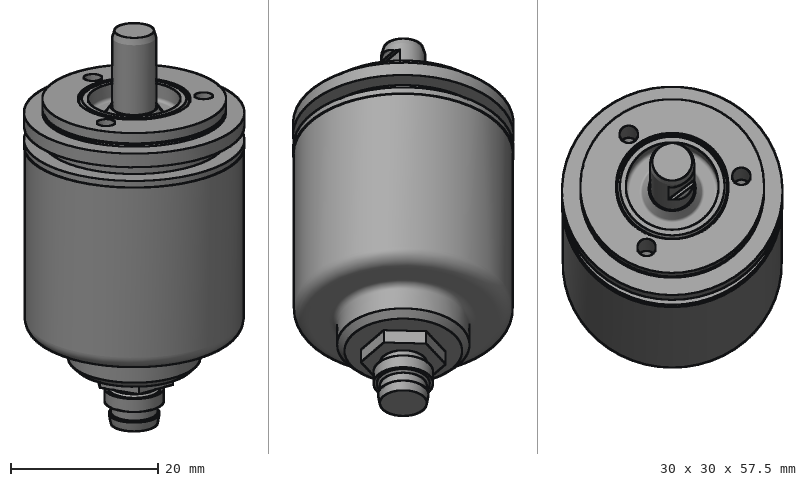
import cadquery as cq
import math


shaft_radius = 3.0
shaft_projection = 10.0
shaft_insertion = 10.0
shaft_chamfer_width = 0.3
shaft_chamfer_height = 1.0

flat_offset = 2.0
flat_bottom_z = 3.0
flat_length = 5.0
flat_edge_chamfer = 0.5

rim_radius = 15.0
pilot_radius = 12.5
pilot_land = 1.5
relief_depth = 0.2
flange_top_z = -2.0
flange_thickness = 2.0
servo_groove_width = 2.0
lower_rim_thickness = 1.0

cover_radius = 14.9
cover_bottom_z = -34.0
cover_fillet = 2.0
outlet_radius = 9.0
outlet_fillet = 1.0
outlet_chamfer = 1.0
outlet_bottom_z = -39.0

hex_across_flats = 10.0
hex_height = 2.0
neck_radius = 3.2
collar_cone_radius = 3.6
collar_cone_height = 0.35
collar_radius = 4.05
collar_top_z = -42.4
collar_height = 1.9
barb_radius = 3.45
barb_top_z = -46.1
barb_lead = 0.2
barb_bulge = 0.03
connector_bottom_z = -47.5

seat_groove_radius = 7.65
seat_bevel_top_radius = 7.1
seat_bevel_bottom_radius = 7.45
seat_groove_depth = 0.4
recess_radius = 6.3
recess_depth = 2.5
recess_fillet = 0.5

lip_foot_radius = 4.4
lip_cone_radius = 4.05
lip_cone_base_height = 0.18
lip_crest_radius = 3.2
lip_height = 1.4
lip_inner_drop = 0.15

mounting_hole_count = 3
mounting_hole_radius = 1.25
mounting_circle_radius = 9.5
mounting_hole_depth = 5.0
drill_point_angle = 118.0
first_hole_angle = -90.0

HALF_SECTION = cq.Plane(origin=(0, 0, 0), xDir=(0, -1, 0), normal=(-1, 0, 0))


def turned(outline):
    """Close a half-section outline and turn it about the Z axis."""
    return outline.close().revolve(360, (0, 0, 0), (0, 1, 0))


def make_mounting_end_and_cover():
    flange_bottom_z = flange_top_z - flange_thickness
    lower_rim_top_z = flange_bottom_z - servo_groove_width
    lower_rim_bottom_z = lower_rim_top_z - lower_rim_thickness
    relief_z = (flange_top_z - pilot_land) / 2
    return turned(
        cq.Workplane(HALF_SECTION)
        .lineTo(pilot_radius, 0)
        .lineTo(pilot_radius, -pilot_land)
        .lineTo(pilot_radius - relief_depth, relief_z)
        .lineTo(pilot_radius, flange_top_z)
        .lineTo(rim_radius, flange_top_z)
        .lineTo(rim_radius, flange_bottom_z)
        .lineTo(pilot_radius, flange_bottom_z)
        .lineTo(pilot_radius, lower_rim_top_z)
        .lineTo(rim_radius, lower_rim_top_z)
        .lineTo(rim_radius, lower_rim_bottom_z)
        .lineTo(cover_radius, lower_rim_bottom_z)
        .lineTo(cover_radius, cover_bottom_z + cover_fillet)
        .radiusArc((cover_radius - cover_fillet, cover_bottom_z), cover_fillet)
        .lineTo(outlet_radius + outlet_fillet, cover_bottom_z)
        .radiusArc((outlet_radius, cover_bottom_z - outlet_fillet), -outlet_fillet)
        .lineTo(outlet_radius, outlet_bottom_z + outlet_chamfer)
        .lineTo(outlet_radius - outlet_chamfer, outlet_bottom_z)
        .lineTo(0, outlet_bottom_z)
    )


def make_hexagon():
    across_corners = hex_across_flats / math.cos(math.pi / 6)
    return (
        cq.Workplane("XY", origin=(0, 0, outlet_bottom_z))
        .polygon(6, across_corners)
        .extrude(-hex_height)
    )


def make_connector():
    connector_top_z = outlet_bottom_z - hex_height
    collar_bottom_z = collar_top_z - collar_height
    barb_middle = (
        (barb_radius + neck_radius) / 2 + barb_bulge,
        (barb_top_z + connector_bottom_z) / 2,
    )
    return turned(
        cq.Workplane(HALF_SECTION)
        .moveTo(0, connector_top_z)
        .lineTo(neck_radius, connector_top_z)
        .lineTo(neck_radius, collar_top_z + collar_cone_height)
        .lineTo(collar_cone_radius, collar_top_z)
        .lineTo(collar_radius, collar_top_z)
        .lineTo(collar_radius, collar_bottom_z)
        .lineTo(collar_cone_radius, collar_bottom_z)
        .lineTo(neck_radius, collar_bottom_z - collar_cone_height)
        .lineTo(neck_radius, barb_top_z + barb_lead)
        .lineTo(barb_radius, barb_top_z)
        .threePointArc(barb_middle, (neck_radius, connector_bottom_z))
        .lineTo(0, connector_bottom_z)
    )


def make_seat_groove():
    return turned(
        cq.Workplane(HALF_SECTION)
        .moveTo(seat_bevel_top_radius, 0)
        .lineTo(seat_groove_radius, 0)
        .lineTo(seat_groove_radius, -seat_groove_depth)
        .lineTo(seat_bevel_bottom_radius, -seat_groove_depth)
    )


def make_recess():
    """Space above the recess floor, the shaft lip and the shaft bore."""
    crest_z = lip_height - recess_depth
    return turned(
        cq.Workplane(HALF_SECTION)
        .lineTo(recess_radius, 0)
        .lineTo(recess_radius, recess_fillet - recess_depth)
        .radiusArc((recess_radius - recess_fillet, -recess_depth), recess_fillet)
        .lineTo(lip_foot_radius, -recess_depth)
        .tangentArcPoint((lip_cone_radius, lip_cone_base_height - recess_depth), relative=False)
        .lineTo(lip_crest_radius, crest_z)
        .lineTo(shaft_radius, crest_z - lip_inner_drop)
        .lineTo(shaft_radius, -shaft_insertion)
        .lineTo(0, -shaft_insertion)
    )


def make_mounting_hole():
    """Drilled hole on the Z axis, with a conical bottom."""
    point_height = mounting_hole_radius / math.tan(math.radians(drill_point_angle / 2))
    return turned(
        cq.Workplane(HALF_SECTION)
        .lineTo(mounting_hole_radius, 0)
        .lineTo(mounting_hole_radius, -mounting_hole_depth)
        .lineTo(0, -mounting_hole_depth - point_height)
    )


def make_housing():
    body = make_mounting_end_and_cover().union(make_hexagon()).union(make_connector())
    body = body.cut(make_seat_groove()).cut(make_recess())
    hole = make_mounting_hole().translate((mounting_circle_radius, 0, 0))
    for index in range(mounting_hole_count):
        angle = first_hole_angle + index * 360 / mounting_hole_count
        body = body.cut(hole.rotate((0, 0, 0), (0, 0, 1), angle))
    return body


def make_shaft_flat():
    """Block that cuts the flat, flared at both ends where it leaves the shaft surface."""
    flat_top_z = flat_bottom_z + flat_length
    flare_y = shaft_radius - flat_edge_chamfer
    return (
        cq.Workplane("YZ")
        .moveTo(flat_offset, flat_bottom_z)
        .lineTo(flare_y, flat_bottom_z)
        .lineTo(shaft_radius, flat_bottom_z - flat_edge_chamfer)
        .lineTo(shaft_radius, flat_top_z + flat_edge_chamfer)
        .lineTo(flare_y, flat_top_z)
        .lineTo(flat_offset, flat_top_z)
        .close()
        .extrude(shaft_radius, both=True)
    )


def make_shaft():
    rod = turned(
        cq.Workplane(HALF_SECTION)
        .moveTo(0, -shaft_insertion)
        .lineTo(shaft_radius, -shaft_insertion)
        .lineTo(shaft_radius, shaft_projection - shaft_chamfer_height)
        .lineTo(shaft_radius - shaft_chamfer_width, shaft_projection)
        .lineTo(0, shaft_projection)
    )
    return rod.cut(make_shaft_flat())


housing = make_housing()
shaft = make_shaft()

result = cq.Compound.makeCompound([housing.val(), shaft.val()])